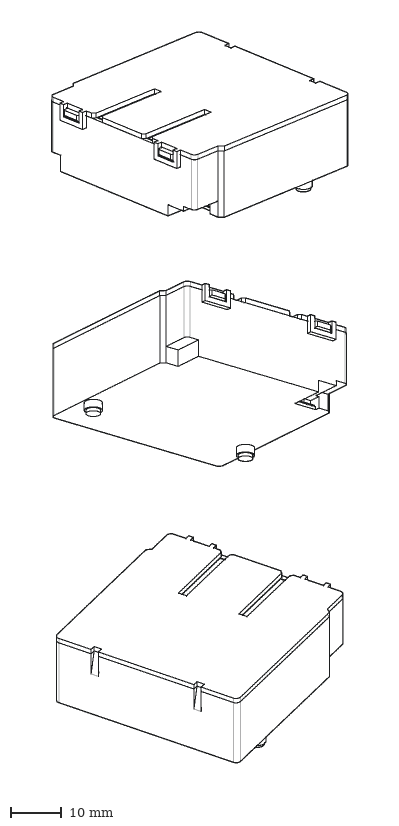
import cadquery as cq


WIDTH = 42.0
DEPTH = 42.4
BODY_HEIGHT = 15.4
COVER_THICKNESS = 1.05
HOUSING_HEIGHT = BODY_HEIGHT - COVER_THICKNESS
WALL = 1.05

FRONT_WIDTH = 40.15
FRONT_LENGTH = 6.55
BACK_RADIUS = 1.05
HOUSING_SHOULDER = 0.75
COVER_SHOULDER = 0.87
HOUSING_FRONT_RADIUS = 0.87
COVER_FRONT_RADIUS = 1.0

NOTCH_SPACING = 34.2
NOTCH_HEIGHT = 3.5

OPENING_LEFT = 12.75
OPENING_SPLIT = 15.5
OPENING_RIGHT = 17.85
OPENING_TOP = 2.45
OPENING_DEPTH = FRONT_LENGTH + WALL
STEP_LOWER = 0.65
STEP_UPPER = 1.05
STEP_DEPTH = 0.35
POCKET_STAGGER = 0.87

PEG_X = 18.9
PEG_Y = 31.5
PEG_DIAMETER = 3.58
PEG_HEIGHT = 1.6
TIP_DIAMETER = 2.9
TIP_HEIGHT = 0.7

CATCH_X = 13.1
LOOP_WIDTH = 6.32
LOOP_HEIGHT = 3.65
LOOP_PROUD = 1.05
LOOP_BAR = 1.05
WEDGE_GAP = 0.15
WEDGE_PROUD = 1.2
WEDGE_BEVEL = 0.35
WEDGE_WIDTH = LOOP_WIDTH - 2 * (LOOP_BAR + WEDGE_GAP)
WEDGE_HEIGHT = LOOP_HEIGHT - COVER_THICKNESS - LOOP_BAR - WEDGE_GAP

SLOT_X = 6.95
SLOT_WIDTH = 1.85
SLOT_LENGTH = 16.9
SLOT_MOUTH_BEVEL = 0.55
GROOVE_DEPTH = 0.15

BACK_NOTCH_X = 11.77
BACK_NOTCH_WIDTH = 1.65
BACK_NOTCH_DEPTH = 1.18
BACK_RAMP_DROP = 4.8

SIDES = (-1, 1)


def box(x_min, x_max, y_min, y_max, z_min, z_max):
    """Block between the given limits."""
    size = (x_max - x_min, y_max - y_min, z_max - z_min)
    return cq.Workplane().box(*size, centered=False).translate((x_min, y_min, z_min))


def centred_box(x_centre, width, y_min, y_max, z_min, z_max):
    """Block of the given width about x_centre."""
    return box(x_centre - width / 2, x_centre + width / 2, y_min, y_max, z_min, z_max)


def plan_block(shoulder, front_radius, z_min, z_max):
    """Block with the plan outline of the part, its upright outer corners rounded."""
    half_width = WIDTH / 2
    half_front = FRONT_WIDTH / 2
    right_side = [
        (half_front, 0),
        (half_front, FRONT_LENGTH),
        (half_width, FRONT_LENGTH + shoulder),
        (half_width, DEPTH),
    ]
    left_side = [(-x, y) for x, y in reversed(right_side)]
    block = (
        cq.Workplane()
        .workplane(offset=z_min)
        .polyline(right_side + left_side)
        .close()
        .extrude(z_max - z_min)
    )
    block = block.faces(">Y").edges("|Z").fillet(BACK_RADIUS)
    return block.faces("<Y").edges("|Z").fillet(front_radius)


def corner_notch(side):
    """Block that removes the lower front corner, back to the shoulder."""
    width = (WIDTH - NOTCH_SPACING) / 2
    centre = side * (NOTCH_SPACING + width) / 2
    return centred_box(centre, width, 0, FRONT_LENGTH, 0, NOTCH_HEIGHT)


def connector_opening():
    """Opening through the front, stepping back above its sill into a staggered pocket."""
    step_back = OPENING_DEPTH + STEP_DEPTH
    left_back = step_back + STEP_DEPTH
    right_back = left_back + POCKET_STAGGER
    opening = box(OPENING_LEFT, OPENING_RIGHT, 0, OPENING_DEPTH, 0, OPENING_TOP)
    step = box(OPENING_LEFT, OPENING_RIGHT, 0, step_back, STEP_LOWER, OPENING_TOP)
    left_pocket = box(OPENING_LEFT, OPENING_SPLIT, 0, left_back, STEP_UPPER, OPENING_TOP)
    right_pocket = box(OPENING_SPLIT, OPENING_RIGHT, 0, right_back, STEP_UPPER, OPENING_TOP)
    return opening.union(step).union(left_pocket).union(right_pocket)


def peg(side):
    """Locating peg with a thinner tip, hanging from the underside."""
    return (
        cq.Workplane("XY", origin=(side * PEG_X, PEG_Y, 0))
        .circle(PEG_DIAMETER / 2)
        .extrude(-PEG_HEIGHT)
        .faces("<Z")
        .workplane()
        .circle(TIP_DIAMETER / 2)
        .extrude(TIP_HEIGHT)
    )


def catch_wedge(side):
    """Catch on the front wall, bevelled along the sides and bottom of its front face."""
    wedge = centred_box(
        side * CATCH_X, WEDGE_WIDTH, -WEDGE_PROUD, 0, HOUSING_HEIGHT - WEDGE_HEIGHT, HOUSING_HEIGHT
    )
    return wedge.faces("<Y").edges("|Z or <Z").chamfer(WEDGE_BEVEL)


def back_ramp(side):
    """Prism that slopes the housing's back edge down below a back notch of the cover."""
    ramp_profile = [
        (DEPTH - BACK_NOTCH_DEPTH, HOUSING_HEIGHT),
        (DEPTH, HOUSING_HEIGHT),
        (DEPTH, HOUSING_HEIGHT - BACK_RAMP_DROP),
    ]
    return (
        cq.Workplane("YZ", origin=(side * BACK_NOTCH_X, 0, 0))
        .polyline(ramp_profile)
        .close()
        .extrude(BACK_NOTCH_WIDTH / 2, both=True)
    )


def housing_groove(side):
    """Groove below a cover slot, starting behind the front wall."""
    return centred_box(
        side * SLOT_X, SLOT_WIDTH, WALL, SLOT_LENGTH, HOUSING_HEIGHT - GROOVE_DEPTH, HOUSING_HEIGHT
    )


def catch_loop(side):
    """U-shaped loop, open at the top, that hangs from the cover in front of the housing."""
    bottom = BODY_HEIGHT - LOOP_HEIGHT
    loop = centred_box(side * CATCH_X, LOOP_WIDTH, -LOOP_PROUD, 0, bottom, BODY_HEIGHT)
    window_width = LOOP_WIDTH - 2 * LOOP_BAR
    window = centred_box(
        side * CATCH_X, window_width, -LOOP_PROUD, 0, bottom + LOOP_BAR, BODY_HEIGHT
    )
    return loop.cut(window)


def cover_slot(side):
    """Slot through the cover, open at the front with a bevelled mouth."""
    half = SLOT_WIDTH / 2
    mouth_half = half + SLOT_MOUTH_BEVEL
    outline = [
        (-mouth_half, 0),
        (-half, SLOT_MOUTH_BEVEL),
        (-half, SLOT_LENGTH),
        (half, SLOT_LENGTH),
        (half, SLOT_MOUTH_BEVEL),
        (mouth_half, 0),
    ]
    return (
        cq.Workplane("XY", origin=(side * SLOT_X, 0, HOUSING_HEIGHT))
        .polyline(outline)
        .close()
        .extrude(COVER_THICKNESS)
    )


def back_notch(side):
    """Notch through the back edge of the cover."""
    return centred_box(
        side * BACK_NOTCH_X, BACK_NOTCH_WIDTH, DEPTH - BACK_NOTCH_DEPTH, DEPTH, HOUSING_HEIGHT, BODY_HEIGHT
    )


def make_housing():
    housing = plan_block(HOUSING_SHOULDER, HOUSING_FRONT_RADIUS, 0, HOUSING_HEIGHT)
    for side in SIDES:
        housing = housing.cut(corner_notch(side)).cut(housing_groove(side)).cut(back_ramp(side))
        housing = housing.union(peg(side)).union(catch_wedge(side))
    return housing.cut(connector_opening())


def make_cover():
    cover = plan_block(COVER_SHOULDER, COVER_FRONT_RADIUS, HOUSING_HEIGHT, BODY_HEIGHT)
    for side in SIDES:
        cover = cover.cut(cover_slot(side)).cut(back_notch(side))
        cover = cover.union(catch_loop(side))
    return cover


housing = make_housing()
cover = make_cover()

result = cq.Compound.makeCompound([housing.val(), cover.val()])